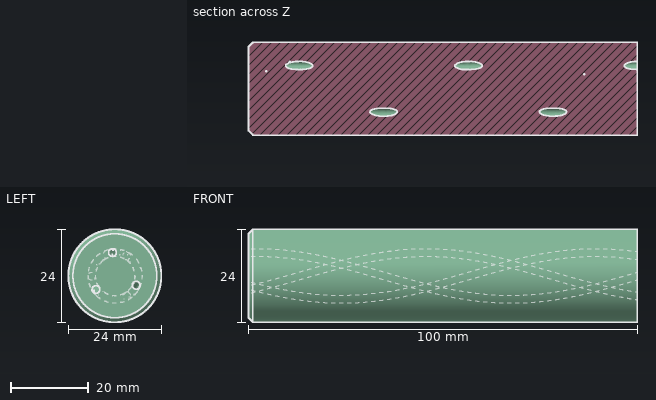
import cadquery as cq
import math

length = 100.0
diameter = 24.0
chamfer = 1.2

channel_count = 3
channel_diameter = 2.0
channel_circle_radius = 6.0
first_channel_angle = 6.0
helix_angle = 30.0
helix_pitch = math.pi * diameter / math.tan(math.radians(helix_angle))
channel_twist = 360 * length / helix_pitch


def rod():
    body = cq.Workplane("YZ").circle(diameter / 2).extrude(length)
    return body.faces("<X").chamfer(chamfer)


def helical_channel(start_angle):
    """Cutter that winds around the rod axis from one end face to the other."""
    start_y = channel_circle_radius * math.sin(math.radians(start_angle))
    start_z = channel_circle_radius * math.cos(math.radians(start_angle))
    return (
        cq.Workplane("YZ")
        .moveTo(start_y, start_z)
        .circle(channel_diameter / 2)
        .twistExtrude(length, channel_twist)
    )


result = rod()
for index in range(channel_count):
    result = result.cut(helical_channel(first_channel_angle + index * 360 / channel_count))